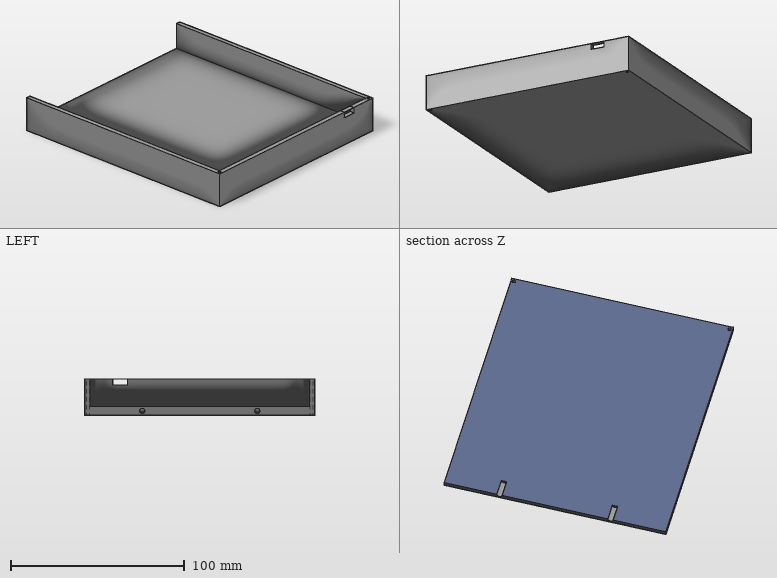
import cadquery as cq

length = 149.1
width = 132.5
height = 21.0
wall = 3.0
floor = 5.0

edge_hole_diameter = 3.0
edge_hole_depth = 10.0
edge_hole_offset = width / 4

corner_hole_diameter = 1.6
corner_hole_inset = 2.0

window_width = 8.3
window_height = 3.5
window_bridge = 0.1
window_side_inset = 16.3


def make_tray():
    """Floor with two side walls and a rear wall, open at -X and above."""
    block = cq.Workplane("XY").box(length, width, height, centered=(True, True, False))
    cavity = (
        cq.Workplane("XY")
        .box(length - wall, width - 2 * wall, height - floor, centered=(False, True, False))
        .translate((-length / 2, 0, floor))
    )
    return block.cut(cavity)


def make_edge_holes():
    return (
        cq.Workplane("YZ", origin=(-length / 2, 0, floor / 2))
        .pushPoints([(-edge_hole_offset, 0), (edge_hole_offset, 0)])
        .circle(edge_hole_diameter / 2)
        .extrude(edge_hole_depth)
    )


def make_corner_holes():
    hole_x = length / 2 - corner_hole_inset
    hole_y = width / 2 - corner_hole_inset
    return (
        cq.Workplane("XY")
        .pushPoints([(hole_x, -hole_y), (hole_x, hole_y)])
        .circle(corner_hole_diameter / 2)
        .extrude(height)
    )


def make_window():
    return (
        cq.Workplane("XY")
        .box(wall, window_width, window_height, centered=False)
        .translate((
            length / 2 - wall,
            width / 2 - window_side_inset - window_width,
            height - window_bridge - window_height,
        ))
    )


result = make_tray().cut(make_edge_holes()).cut(make_corner_holes()).cut(make_window())